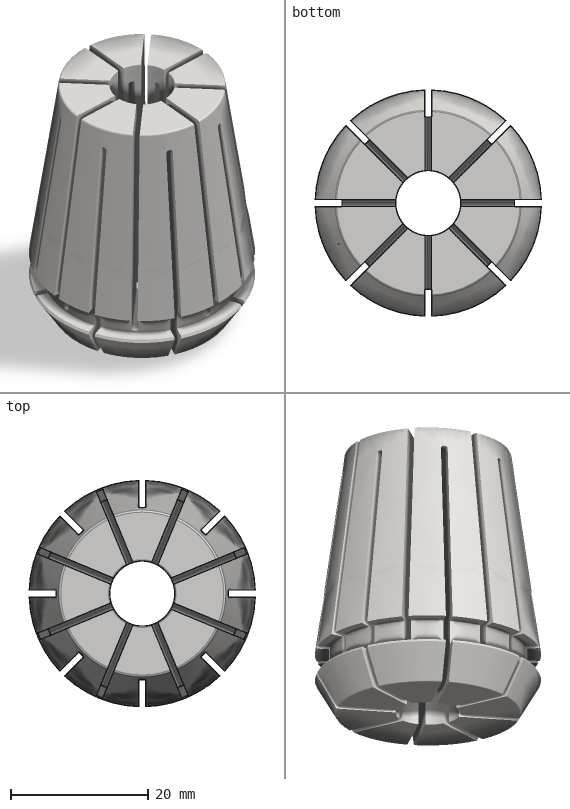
import cadquery as cq
import math

height = 40.0
rim_z = 5.1
groove_bottom_z = 5.5
groove_top_z = 9.1

max_radius = 16.5
nose_radius = 13.5
rim_chamfer = 0.25
groove_radius = 14.6
bore_radius = 4.7
taper_angle = 8.0

top_edge_fillet = 0.3
bore_edge_fillet = 0.2
nose_edge_fillet = 0.2
groove_corner_fillet = 0.1
edge_tolerance = 0.005

slot_count = 8
slot_width = 1.0
slot_corner_radius = 0.4
lower_slot_top_z = 37.0
upper_slot_bottom_z = 5.9
pitch_angle = 360.0 / slot_count


def cone_radius(z):
    """Radius of the long taper at height z."""
    return max_radius - (z - groove_top_z) * math.tan(math.radians(taper_angle))


def round_ring(body, radius, z, fillet):
    """Round the circular edge of the given radius at height z."""
    ring = [
        edge
        for edge in body.edges("%CIRCLE").vals()
        if abs(edge.radius() - radius) < edge_tolerance and abs(edge.Center().z - z) < edge_tolerance
    ]
    return body.newObject(ring).fillet(fillet)


def make_body():
    """Revolved collet profile: nose flange, extraction groove, long taper and bore."""
    top_radius = cone_radius(height)
    profile = [
        (bore_radius, 0),
        (nose_radius, 0),
        (max_radius, rim_z),
        (max_radius - rim_chamfer, groove_bottom_z),
        (groove_radius, groove_bottom_z),
        (groove_radius, groove_top_z),
        (max_radius, groove_top_z),
        (top_radius, height),
        (bore_radius, height),
    ]
    body = cq.Workplane("XZ").polyline(profile).close().revolve(360, (0, 0), (0, 1))
    body = round_ring(body, nose_radius, 0, nose_edge_fillet)
    body = round_ring(body, groove_radius, groove_bottom_z, groove_corner_fillet)
    body = round_ring(body, groove_radius, groove_top_z, groove_corner_fillet)
    body = round_ring(body, top_radius, height, top_edge_fillet)
    return round_ring(body, bore_radius, height, bore_edge_fillet)


def make_slot(blind_end_z, open_end_z, angle):
    """Radial cutter running outward from the axis, with rounded corners at its blind end."""
    radial_length = max_radius + slot_width
    cutter = (
        cq.Workplane("XY")
        .box(radial_length, slot_width, abs(open_end_z - blind_end_z), centered=(False, True, False))
        .translate((0, 0, min(blind_end_z, open_end_z)))
    )
    blind_face = ">Z" if blind_end_z > open_end_z else "<Z"
    cutter = cutter.faces(blind_face).edges("|X").fillet(slot_corner_radius)
    return cutter.rotate((0, 0, 0), (0, 0, 1), angle)


result = make_body()
for index in range(slot_count):
    lower_angle = index * pitch_angle
    result = result.cut(make_slot(lower_slot_top_z, 0, lower_angle))
    result = result.cut(make_slot(upper_slot_bottom_z, height, lower_angle + pitch_angle / 2))